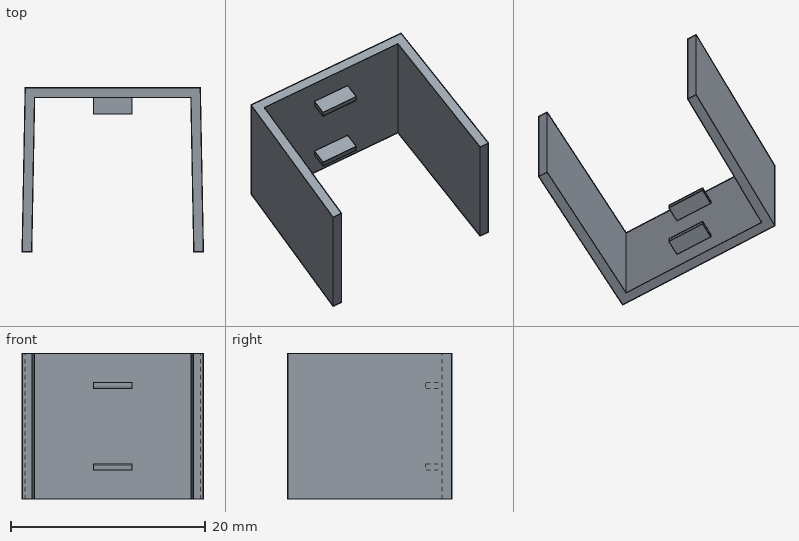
import cadquery as cq

open_width = 18.69
back_width = 18.05
depth = 16.9
height = 15.0
wall = 1.0

tab_width = 4.0
tab_length = 1.7
tab_thickness = 0.64
tab_outer_z = 4.5
ridge_rise = 0.15
ridge_crown = 0.01

back_y = depth / 2
front_y = -depth / 2
inner_y = back_y - wall


def make_channel():
    """Constant-thickness splayed U profile, centred on the origin."""
    splay = (open_width - back_width) / 2
    inner_open = open_width / 2 - wall
    inner_back = back_width / 2 - wall + splay * wall / depth
    return (
        cq.Workplane("XY")
        .workplane(offset=-height / 2)
        .moveTo(-open_width / 2, front_y)
        .lineTo(-back_width / 2, back_y)
        .lineTo(back_width / 2, back_y)
        .lineTo(open_width / 2, front_y)
        .lineTo(inner_open, front_y)
        .lineTo(inner_back, inner_y)
        .lineTo(-inner_back, inner_y)
        .lineTo(-inner_open, front_y)
        .close()
        .extrude(height)
    )


def make_upper_tab():
    """Flat tab whose tip is faintly crowned along a ridge near its lower edge."""
    ridge_y = inner_y - tab_length
    edge_y = ridge_y + ridge_crown
    tab_inner_z = tab_outer_z - tab_thickness
    return (
        cq.Workplane("YZ")
        .workplane(offset=-tab_width / 2)
        .moveTo(back_y, tab_outer_z)
        .lineTo(edge_y, tab_outer_z)
        .lineTo(ridge_y, tab_inner_z + ridge_rise)
        .lineTo(edge_y, tab_inner_z)
        .lineTo(back_y, tab_inner_z)
        .close()
        .extrude(tab_width)
    )


upper_tab = make_upper_tab()
lower_tab = upper_tab.mirror("XY")
result = make_channel().union(upper_tab).union(lower_tab)